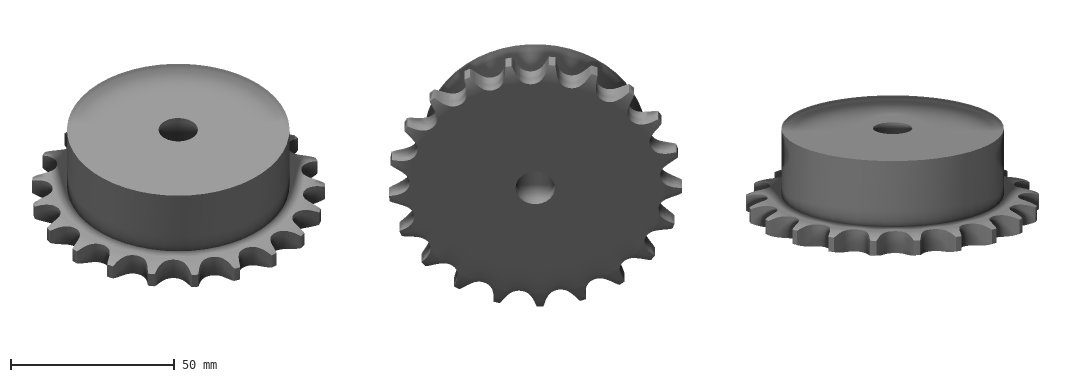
import cadquery as cq
import math

tooth_count = 21
tip_diameter = 89.7
plate_thickness = 7.0
total_height = 28.0
hub_diameter = 68.0
bore_diameter = 12.0

chain_pitch = 12.7

seat_radius = 4.3
seat_sweep = 55 - 60 / tooth_count
hollow_radius = 11.1
hollow_sweep = 18 - 56 / tooth_count
straight_length = 1.1
crest_radius = 7.1
crest_sweep = 15

rounding_radius = 14.1
rounding_start_radius = 39.1

tip_radius = tip_diameter / 2
pitch_radius = chain_pitch / (2 * math.sin(math.pi / tooth_count))
tooth_angle = 360 / tooth_count
first_valley_angle = 90
overrun = 1.8


def plate_blank():
    """Disc with both rim edges rounded by arcs tangent to its flat faces."""
    width = tip_radius - rounding_start_radius
    drop = rounding_radius - math.sqrt(rounding_radius**2 - width**2)
    mid_drop = rounding_radius - math.sqrt(rounding_radius**2 - (width / 2) ** 2)
    mid_radius = rounding_start_radius + width / 2
    top = plate_thickness
    return (
        cq.Workplane("XZ")
        .lineTo(rounding_start_radius, 0)
        .threePointArc((mid_radius, mid_drop), (tip_radius, drop))
        .lineTo(tip_radius, top - drop)
        .threePointArc((mid_radius, top - mid_drop), (rounding_start_radius, top))
        .lineTo(0, top)
        .close()
        .revolve(360, (0, 0), (0, 1))
    )


def arc_points(start, heading, radius, turn):
    """Middle and end point of an arc that leaves start along heading (degrees).

    A positive turn bends left, a negative one right.
    """
    points = []
    for part_turn in (turn / 2, turn):
        chord = 2 * radius * math.sin(math.radians(abs(part_turn) / 2))
        direction = math.radians(heading + part_turn / 2)
        points.append((start[0] + chord * math.cos(direction), start[1] + chord * math.sin(direction)))
    return points


def mirrored(point):
    return point[0], -point[1]


def valley_cutter():
    """Gap between two teeth, drawn opening toward +X; every curve runs on tangent to the last."""
    bottom = (pitch_radius - seat_radius, 0)
    heading = 90
    seat_end = arc_points(bottom, heading, seat_radius, -seat_sweep)[1]
    heading -= seat_sweep
    hollow_mid, hollow_end = arc_points(seat_end, heading, hollow_radius, -hollow_sweep)
    heading -= hollow_sweep
    straight_end = (
        hollow_end[0] + straight_length * math.cos(math.radians(heading)),
        hollow_end[1] + straight_length * math.sin(math.radians(heading)),
    )
    crest_mid, crest_end = arc_points(straight_end, heading, crest_radius, crest_sweep)
    outer_corner = (tip_radius + overrun, crest_end[1])
    return (
        cq.Workplane("XY")
        .workplane(offset=-overrun)
        .moveTo(*mirrored(seat_end))
        .threePointArc(bottom, seat_end)
        .threePointArc(hollow_mid, hollow_end)
        .lineTo(*straight_end)
        .threePointArc(crest_mid, crest_end)
        .lineTo(*outer_corner)
        .lineTo(*mirrored(outer_corner))
        .lineTo(*mirrored(crest_end))
        .threePointArc(mirrored(crest_mid), mirrored(straight_end))
        .lineTo(*mirrored(hollow_end))
        .threePointArc(mirrored(hollow_mid), mirrored(seat_end))
        .close()
        .extrude(plate_thickness + 2 * overrun)
    )


toothed_plate = plate_blank()
cutter = valley_cutter()
for valley in range(tooth_count):
    angle = first_valley_angle + valley * tooth_angle
    toothed_plate = toothed_plate.cut(cutter.rotate((0, 0, 0), (0, 0, 1), angle))

hub = cq.Workplane("XY").circle(hub_diameter / 2).extrude(total_height)
bore = cq.Workplane("XY").circle(bore_diameter / 2).extrude(total_height)

result = toothed_plate.union(hub).cut(bore)